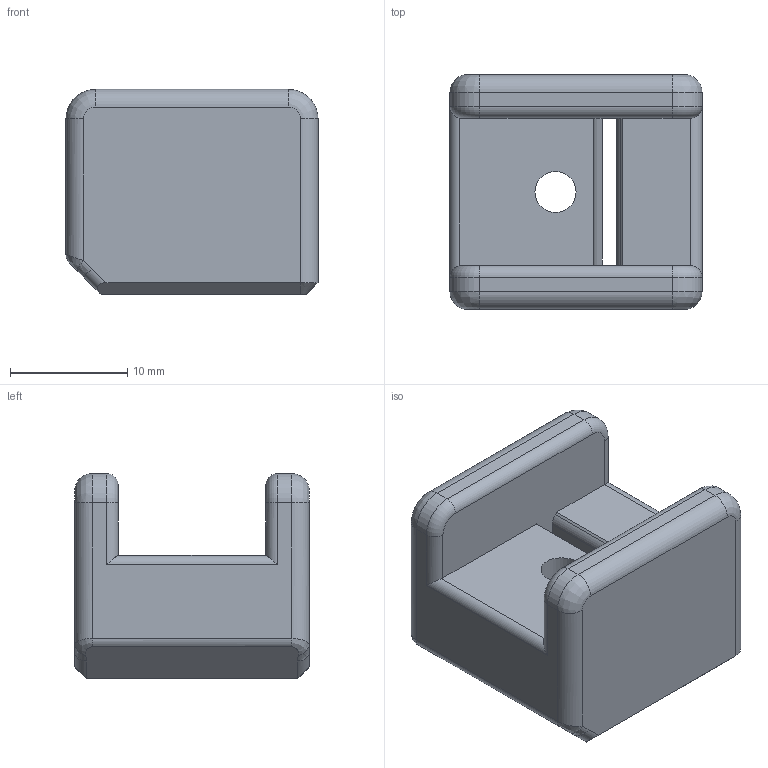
import cadquery as cq
import math

length = 21.5
width = 20.0
height = 17.5
wall_corner_radius = 2.5
front_chamfer = 3.0

channel_width = 12.6
floor_height = 10.5

outer_edge_radius = 1.5
inner_edge_radius = 1.0
low_floor_edge_radius = 0.8
chamfer_face_edge_radius = 1.0
bottom_chamfer = 1.0

hole_diameter = 3.5
hole_x = 9.0

slot_left_x = 12.25
slot_right_x = 14.2
slot_lower_radius = 5.5
slot_lower_bend = 30.0
slot_upper_radius = 1.2
slot_upper_bend = 45.0
slot_lead_in = 0.17

near = 0.01


def block():
    """Side profile with rounded top corners and a chamfered lower -X corner."""
    profile = (
        cq.Workplane("XZ", origin=(0, width / 2, 0))
        .moveTo(front_chamfer, 0)
        .lineTo(length, 0)
        .lineTo(length, height)
        .lineTo(0, height)
        .lineTo(0, front_chamfer)
        .close()
    )
    return profile.extrude(width).edges("|Y and >Z").fillet(wall_corner_radius)


def cut_channel(body):
    depth = height - floor_height
    channel = cq.Workplane("XY").box(length, channel_width, depth, centered=(False, True, False))
    return body.cut(channel.translate((0, 0, floor_height)))


def round_outer_edges(body):
    """Round the +Y and -Y faces along their upright and top edges."""
    edges = [
        edge
        for edge in body.faces("<Y or >Y").edges().vals()
        if edge.Center().z > front_chamfer
    ]
    return body.newObject(edges).fillet(outer_edge_radius)


def round_inner_edges(body):
    """Round the channel walls' rims and the two ends of the channel floor."""
    half_channel = channel_width / 2
    rims = []
    floor_ends = []
    for edge in body.edges().vals():
        center = edge.Center()
        on_wall = abs(abs(center.y) - half_channel) < near
        on_floor = abs(center.z - floor_height) < near
        if on_wall and not on_floor:
            rims.append(edge)
        elif on_floor and abs(center.y) < near:
            floor_ends.append(edge)
    low_end, high_end = sorted(floor_ends, key=lambda edge: edge.Center().x)
    rounded = body.newObject(rims + [high_end]).fillet(inner_edge_radius)
    low_end = rounded.edges(cq.NearestToPointSelector((0, 0, floor_height)))
    return low_end.fillet(low_floor_edge_radius)


def round_chamfer_face(body):
    """Round the sides and upper edge of the sloping face, leaving its bottom edge sharp."""
    edges = [e for e in body.faces("<(1, 0, 1)").edges().vals() if e.Center().z > near]
    return body.newObject(edges).fillet(chamfer_face_edge_radius)


def chamfer_bottom(body):
    """Chamfer the bottom along the +X, +Y and -Y sides, turning conically round the +X corners."""
    overhang = length / 2
    foot_length = length - bottom_chamfer + overhang
    foot_width = width - 2 * bottom_chamfer
    foot = (
        cq.Workplane("XY")
        .center(foot_length / 2 - overhang, 0)
        .sketch()
        .rect(foot_length, foot_width)
        .vertices(">X")
        .fillet(outer_edge_radius - bottom_chamfer)
        .finalize()
        .extrude(bottom_chamfer, taper=-45)
    )
    slab = cq.Workplane("XY").box(length, width, bottom_chamfer, centered=(False, True, False))
    rim = slab.cut(foot)
    return body.cut(rim)


def cut_hole(body):
    hole = cq.Workplane("XY").center(hole_x, 0).circle(hole_diameter / 2).extrude(floor_height)
    return body.cut(hole)


def bend(radius, degrees):
    """Sideways and upright travel along an arc that starts upright."""
    angle = math.radians(degrees)
    return radius * (1 - math.cos(angle)), radius * math.sin(angle)


def cut_slot(body):
    """Upright slot, flared at its upper right and curving in at its lower left."""
    lower_mid_x, lower_mid_z = bend(slot_lower_radius, slot_lower_bend / 2)
    lower_end_x, lower_end_z = bend(slot_lower_radius, slot_lower_bend)
    upper_mid_x, upper_mid_z = bend(slot_upper_radius, slot_upper_bend / 2)
    upper_end_x, upper_end_z = bend(slot_upper_radius, slot_upper_bend)
    lower_z = lower_end_z
    upper_z = floor_height - slot_lead_in - upper_end_z
    lead_x = slot_right_x + upper_end_x
    mouth_x = lead_x + slot_lead_in * math.tan(math.radians(slot_upper_bend))
    slot = (
        cq.Workplane("XZ", origin=(0, channel_width / 2, 0))
        .moveTo(slot_left_x, floor_height)
        .lineTo(slot_left_x, lower_z)
        .threePointArc(
            (slot_left_x + lower_mid_x, lower_z - lower_mid_z),
            (slot_left_x + lower_end_x, 0),
        )
        .lineTo(slot_right_x, 0)
        .lineTo(slot_right_x, upper_z)
        .threePointArc(
            (slot_right_x + upper_mid_x, upper_z + upper_mid_z),
            (lead_x, upper_z + upper_end_z),
        )
        .lineTo(mouth_x, floor_height)
        .close()
        .extrude(channel_width)
    )
    return body.cut(slot)


result = block()
for step in (
    cut_channel,
    round_outer_edges,
    round_chamfer_face,
    round_inner_edges,
    chamfer_bottom,
    cut_hole,
    cut_slot,
):
    result = step(result)